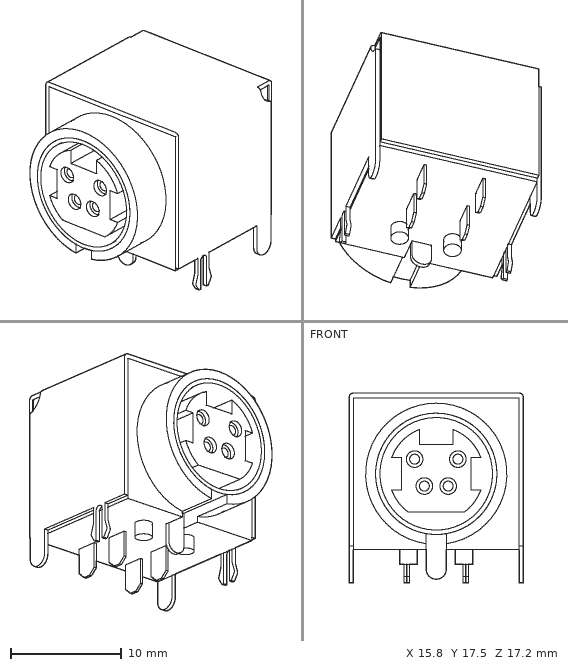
import cadquery as cq
import math


WIDTH = 15.8
HEIGHT = 14.21
SIDE_WALL = 0.4
TOP_WALL = 0.45
BACK_WALL = 0.4
SHIELD_BACK = 13.5
BEND_RADIUS = 0.4
SHIELD_BOTTOM = 0.32
LEG_TIP = -3.0

BODY_WIDTH = WIDTH - 2 * SIDE_WALL
BODY_HEIGHT = HEIGHT - TOP_WALL
BODY_DEPTH = 12.95

RELIEF_RADIUS = 2.0

REAR_LEG_WIDTH = 2.0

FORK_Y = 3.5
FORK_STEM = 0.78
FORK_SLOT = 0.4
FORK_SLOT_TOP = 0.3
FORK_BARB = 1.05
FORK_BARB_PEAK = 1.08
FORK_SHOULDER = 0.72
FORK_TIP = 0.62
BARB_START_Z = -1.28
BARB_TOP_Z = -2.12
BARB_BOTTOM_Z = -2.37
SHOULDER_Z = -2.89

AXIS_Z = 6.88
BARREL_LENGTH = 4.0
BARREL_DIAMETER = 12.8
SLEEVE_OUTER = 11.0
SLEEVE_INNER = 10.2
SLEEVE_END = 2.25
FRONT = -BARREL_LENGTH

TAB_WIDTH = 1.85
TAB_THICKNESS = 0.4
TAB_TIP = -2.68

CORE_RADIUS = 4.3
CORE_FLAT = 3.48
TOP_KEY_WIDTH = 3.04
TOP_KEY_FLOOR = 2.67
SIDE_KEY_HEIGHT = 2.96
SIDE_KEY_FLOOR = 3.15

CONTACTS = [(-1.96, 1.33), (1.96, 1.33), (-1.08, -1.11), (1.08, -1.11)]
CONTACT_MOUTH_DIAMETER = 1.5
CONTACT_MOUTH_DEPTH = 0.5
CONTACT_BORE_DIAMETER = 0.9
CONTACT_BORE_DEPTH = 5.0

POST_X = 2.52
POST_DIAMETER = 1.6
POST_LENGTH = 1.33

PIN_ROWS = [(2.54, 7.04), (2.80, 10.84)]
PIN_THICKNESS = 0.25
PIN_WIDTH = 2.07
PIN_TIP_WIDTH = 0.75
PIN_TAPER_Z = -2.43


def block(x_min, x_max, y_min, y_max, z_min, z_max):
    """Axis-aligned box between two corners."""
    size = (x_max - x_min, y_max - y_min, z_max - z_min)
    return cq.Workplane("XY").box(*size, centered=False).translate((x_min, y_min, z_min))


def axial_rod(diameter, y_min, y_max, x=0, z=0):
    """Cylinder along Y, placed relative to the socket axis."""
    plane = cq.Workplane("XZ", origin=(x, y_min, AXIS_Z + z))
    return plane.circle(diameter / 2).extrude(y_min - y_max)



def keyed_core():
    core = axial_rod(2 * CORE_RADIUS, FRONT, SLEEVE_END)
    reach = 2 * CORE_RADIUS
    span = (FRONT, SLEEVE_END)
    key_half = TOP_KEY_WIDTH / 2
    side_half = SIDE_KEY_HEIGHT / 2
    core = core.cut(block(-reach, reach, *span, AXIS_Z - reach, AXIS_Z - CORE_FLAT))
    core = core.cut(block(-key_half, key_half, *span, AXIS_Z + TOP_KEY_FLOOR, AXIS_Z + reach))
    for x_min, x_max in [(-reach, -SIDE_KEY_FLOOR), (SIDE_KEY_FLOOR, reach)]:
        core = core.cut(block(x_min, x_max, *span, AXIS_Z - side_half, AXIS_Z + side_half))
    return core


def solder_pin(x, y):
    half = PIN_WIDTH / 2
    tip_half = PIN_TIP_WIDTH / 2
    outline = [
        (y - half, 0),
        (y - half, PIN_TAPER_Z),
        (y - tip_half, LEG_TIP),
        (y + tip_half, LEG_TIP),
        (y + half, PIN_TAPER_Z),
        (y + half, 0),
    ]
    plane = cq.Workplane("YZ", origin=(x - PIN_THICKNESS / 2, 0, 0))
    return plane.polyline(outline).close().extrude(PIN_THICKNESS)


def make_housing():
    housing = block(-BODY_WIDTH / 2, BODY_WIDTH / 2, 0, BODY_DEPTH, 0, BODY_HEIGHT)
    housing = housing.union(axial_rod(BARREL_DIAMETER, FRONT, 0))
    housing = housing.cut(axial_rod(SLEEVE_OUTER, FRONT, SLEEVE_END))
    tab_half = TAB_WIDTH / 2
    slot_bottom = AXIS_Z - BARREL_DIAMETER
    slot_top = AXIS_Z - SLEEVE_INNER / 2
    housing = housing.cut(block(-tab_half, tab_half, FRONT, SLEEVE_END, slot_bottom, slot_top))
    housing = housing.union(keyed_core())
    for x, z in CONTACTS:
        mouth = axial_rod(CONTACT_MOUTH_DIAMETER, FRONT, FRONT + CONTACT_MOUTH_DEPTH, x, z)
        bore = axial_rod(CONTACT_BORE_DIAMETER, FRONT, FRONT + CONTACT_BORE_DEPTH, x, z)
        housing = housing.cut(mouth).cut(bore)
    for side in (-1, 1):
        plane = cq.Workplane("XY", origin=(side * POST_X, FORK_Y, 0))
        post = plane.circle(POST_DIAMETER / 2).extrude(-POST_LENGTH)
        housing = housing.union(post)
        for x, y in PIN_ROWS:
            housing = housing.union(solder_pin(side * x, y))
    return housing



def rear_leg(plane):
    radius = REAR_LEG_WIDTH / 2
    y_front = BODY_DEPTH - REAR_LEG_WIDTH
    leg = plane.moveTo(y_front, SHIELD_BOTTOM).lineTo(y_front, LEG_TIP + radius)
    leg = leg.threePointArc((y_front + radius, LEG_TIP), (BODY_DEPTH, LEG_TIP + radius))
    return leg.lineTo(BODY_DEPTH, SHIELD_BOTTOM).close().extrude(SIDE_WALL)


def fork_prong(plane, side):
    """Half of the snap leg, from the centre line outwards."""
    def at(half_width, z):
        return (FORK_Y + side * half_width, z)

    prong = plane.moveTo(*at(0, SHIELD_BOTTOM)).lineTo(*at(FORK_STEM, SHIELD_BOTTOM))
    prong = prong.lineTo(*at(FORK_STEM, BARB_START_Z)).lineTo(*at(FORK_BARB, BARB_TOP_Z))
    barb_middle = (BARB_TOP_Z + BARB_BOTTOM_Z) / 2
    prong = prong.threePointArc(at(FORK_BARB_PEAK, barb_middle), at(FORK_BARB, BARB_BOTTOM_Z))
    prong = prong.lineTo(*at(FORK_SHOULDER, SHOULDER_Z)).lineTo(*at(FORK_TIP, LEG_TIP))
    prong = prong.lineTo(*at(FORK_SLOT, LEG_TIP))
    arc_z = FORK_SLOT_TOP - FORK_SLOT
    diagonal = FORK_SLOT * math.sqrt(0.5)
    prong = prong.lineTo(*at(FORK_SLOT, arc_z))
    prong = prong.threePointArc(at(diagonal, arc_z + diagonal), at(0, FORK_SLOT_TOP))
    return prong.close().extrude(SIDE_WALL)


def corner_relief(wall_x):
    """Disc centred on the upper rear corner."""
    plane = cq.Workplane("YZ", origin=(wall_x, SHIELD_BACK, HEIGHT))
    return plane.circle(RELIEF_RADIUS).extrude(SIDE_WALL)


def make_shield():
    half = WIDTH / 2
    inner = BODY_WIDTH / 2
    shield = block(-half, half, 0, BODY_DEPTH, SHIELD_BOTTOM, HEIGHT)
    shield = shield.edges("|Y and >Z").fillet(BEND_RADIUS)
    shield = shield.cut(block(-inner, inner, 0, BODY_DEPTH, SHIELD_BOTTOM, BODY_HEIGHT))
    strap_start = SHIELD_BACK - RELIEF_RADIUS
    plate_front = SHIELD_BACK - BACK_WALL
    strap = block(-inner, inner, strap_start, SHIELD_BACK, SHIELD_BOTTOM, HEIGHT)
    strap = strap.edges("|X and >Y and >Z").fillet(BEND_RADIUS)
    strap = strap.cut(block(-inner, inner, strap_start, plate_front, SHIELD_BOTTOM, BODY_HEIGHT))
    shield = shield.union(strap)
    for wall_x in (-half, inner):
        plane = cq.Workplane("YZ", origin=(wall_x, 0, 0))
        shield = shield.cut(corner_relief(wall_x))
        shield = shield.union(rear_leg(plane))
        for side in (-1, 1):
            shield = shield.union(fork_prong(plane, side))
    return shield



def make_sleeve():
    radius = TAB_WIDTH / 2
    plane = cq.Workplane("XZ", origin=(0, SLEEVE_END, 0))
    tab_top = AXIS_Z - SLEEVE_INNER / 2
    tab = plane.moveTo(-radius, tab_top).lineTo(-radius, TAB_TIP + radius)
    tab = tab.threePointArc((0, TAB_TIP), (radius, TAB_TIP + radius))
    tab = tab.lineTo(radius, tab_top).close().extrude(TAB_THICKNESS)
    sleeve = axial_rod(SLEEVE_OUTER, FRONT, SLEEVE_END).union(tab)
    return sleeve.cut(axial_rod(SLEEVE_INNER, FRONT, SLEEVE_END))


housing = make_housing()
shield = make_shield()
sleeve = make_sleeve()

result = cq.Compound.makeCompound([housing.val(), shield.val(), sleeve.val()])